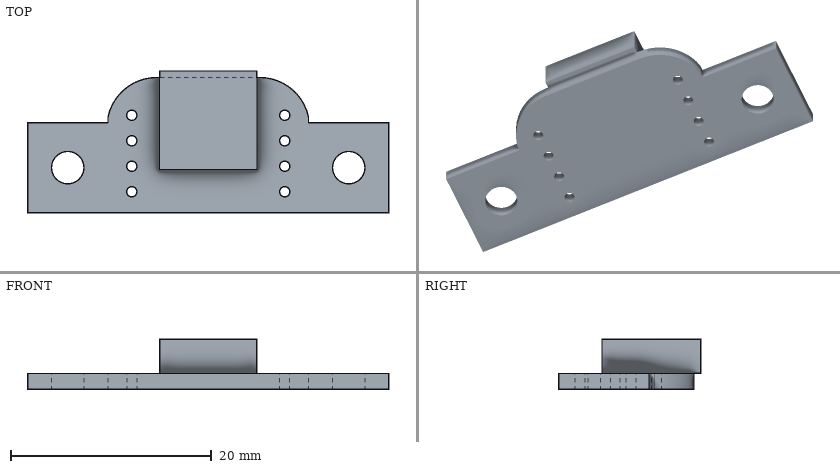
import cadquery as cq
import math

board_length = 36.0
strip_depth = 9.0
board_thickness = 1.6
tongue_width = 20.0
board_depth = 13.5
shoulder_start_y = 9.55
shoulder_radius = 5.0

mount_hole_diameter = 3.2
mount_hole_spacing = 28.0
mount_hole_y = strip_depth / 2
pin_hole_diameter = 1.0
pin_pitch = 2.54
pins_per_row = 4
pin_row_spacing = 15.24
first_pin_y = 2.1

module_width = 9.7
module_depth = 9.85
module_height = 3.4
module_overhang = 0.65

tongue_half = tongue_width / 2
shoulder_center_y = board_depth - shoulder_radius
shoulder_start_angle = math.asin((shoulder_start_y - shoulder_center_y) / shoulder_radius)
shoulder_center_x = tongue_half - shoulder_radius * math.cos(shoulder_start_angle)
shoulder_mid_angle = (shoulder_start_angle + math.pi / 2) / 2
shoulder_mid_x = shoulder_center_x + shoulder_radius * math.cos(shoulder_mid_angle)
shoulder_mid_y = shoulder_center_y + shoulder_radius * math.sin(shoulder_mid_angle)


def board_blank():
    """Board outline, extruded up from Z = 0, with the front edge on Y = 0."""
    half_length = board_length / 2
    return (
        cq.Workplane("XY")
        .moveTo(-half_length, 0)
        .lineTo(half_length, 0)
        .lineTo(half_length, strip_depth)
        .lineTo(tongue_half, strip_depth)
        .lineTo(tongue_half, shoulder_start_y)
        .threePointArc((shoulder_mid_x, shoulder_mid_y), (shoulder_center_x, board_depth))
        .lineTo(-shoulder_center_x, board_depth)
        .threePointArc((-shoulder_mid_x, shoulder_mid_y), (-tongue_half, shoulder_start_y))
        .lineTo(-tongue_half, strip_depth)
        .lineTo(-half_length, strip_depth)
        .close()
        .extrude(board_thickness)
    )


def through_holes(diameter, points):
    """Cutters for round holes through the full board thickness."""
    return cq.Workplane("XY").pushPoints(points).circle(diameter / 2).extrude(board_thickness)


def make_board():
    """Board with a mounting hole at each end and two rows of pin holes."""
    mount_points = [(side * mount_hole_spacing / 2, mount_hole_y) for side in (-1, 1)]
    pin_points = [
        (side * pin_row_spacing / 2, first_pin_y + index * pin_pitch)
        for side in (-1, 1)
        for index in range(pins_per_row)
    ]
    return (
        board_blank()
        .cut(through_holes(mount_hole_diameter, mount_points))
        .cut(through_holes(pin_hole_diameter, pin_points))
    )


def make_module():
    """Block resting on the top face of the board, centred in X."""
    module_back_y = board_depth + module_overhang
    return (
        cq.Workplane("XY")
        .box(module_width, module_depth, module_height, centered=(True, False, False))
        .translate((0, module_back_y - module_depth, board_thickness))
    )


board = make_board()
module = make_module()

result = cq.Compound.makeCompound([board.solids().val(), module.val()])